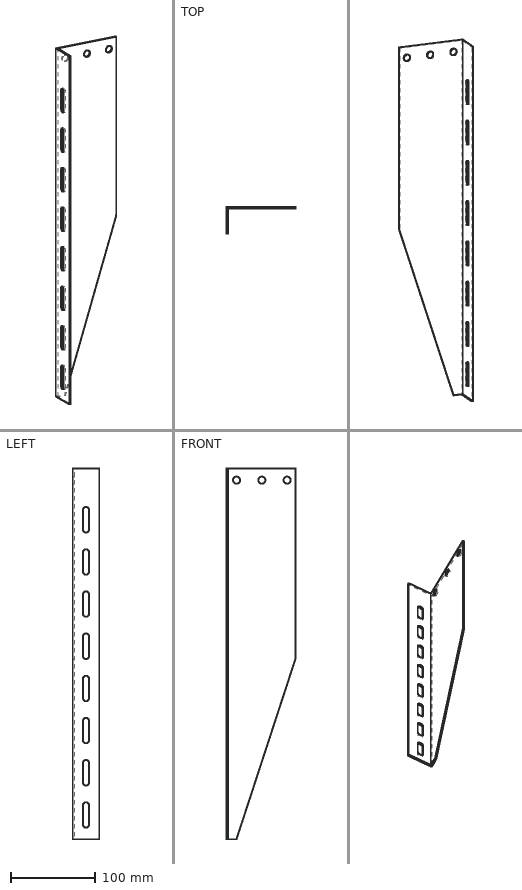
import cadquery as cq

WEB_WIDTH = 82.0
FLANGE_WIDTH = 32.0
HEIGHT = 440.0
THICKNESS = 2.0

TAPER_HEIGHT = 214.0
FOOT_WIDTH = 12.0

HOLE_DIAMETER = 8.2
HOLE_COUNT = 3
HOLE_PITCH = 30.0
HOLE_SIDE_MARGIN = 10.0
HOLE_TOP_MARGIN = 14.0

SLOT_LENGTH = 30.0
SLOT_WIDTH = 7.0
SLOT_COUNT = 8
SLOT_PITCH = 50.0
FIRST_SLOT_HEIGHT = 29.0



def make_web():
    """Plate in the XZ plane with its free edge tapered towards the foot."""
    return (
        cq.Workplane("XZ")
        .moveTo(0, 0)
        .lineTo(FOOT_WIDTH, 0)
        .lineTo(WEB_WIDTH, TAPER_HEIGHT)
        .lineTo(WEB_WIDTH, HEIGHT)
        .lineTo(0, HEIGHT)
        .close()
        .extrude(THICKNESS)
    )


def make_flange():
    """Full-height plate in the YZ plane, square to the web."""
    plate = cq.Workplane("XY").box(THICKNESS, FLANGE_WIDTH, HEIGHT, centered=False)
    return plate.translate((0, -FLANGE_WIDTH, 0))


def make_web_holes():
    """Cutters for the round holes, spaced from the free edge of the web."""
    last_x = WEB_WIDTH - HOLE_SIDE_MARGIN
    centers = [(last_x - i * HOLE_PITCH, HEIGHT - HOLE_TOP_MARGIN) for i in range(HOLE_COUNT)]
    return cq.Workplane("XZ").pushPoints(centers).circle(HOLE_DIAMETER / 2).extrude(THICKNESS)


def make_flange_slots():
    """Cutters for the slots on the centre line of the flange."""
    slot_y = -FLANGE_WIDTH / 2
    centers = [(slot_y, FIRST_SLOT_HEIGHT + i * SLOT_PITCH) for i in range(SLOT_COUNT)]
    upright = 90
    slots = cq.Workplane("YZ").pushPoints(centers).slot2D(SLOT_LENGTH, SLOT_WIDTH, upright)
    return slots.extrude(THICKNESS)


bracket = make_web().union(make_flange())
result = bracket.cut(make_web_holes()).cut(make_flange_slots())